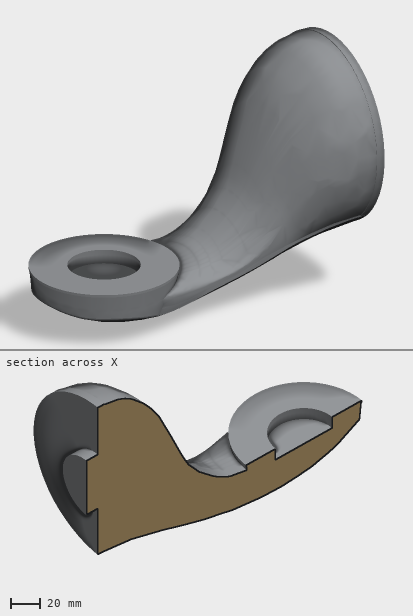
import cadquery as cq
import math

flange_radius = 67.93
flange_thickness = 6.0
peg_diameter = 50.0
peg_length = 10.0

reach = 234.01
plate_lip_radius = 51.4
plate_lip_height = 1.8
plate_side_radius = 51.0
plate_taper_angle = 5.5
plate_top_z = -61.0
plate_side_top_z = plate_top_z - plate_lip_height
rim_fillet = 2.0
plate_centre_y = plate_lip_radius - reach
pocket_diameter = 50.0
pocket_depth = 10.0

floor_z = -115.0
ceiling_z = 90.0
belly_block_half_width = 90.0

crown_points = 9
belly_points = 7

neck_sections = [
    (0.0, 67.8, 0.0, 67.8, -47.5, 47.0, 1.0),
    (-14.0, 66.3, -1.0, 67.3, -48.5, 46.9, 1.0),
    (-30.0, 58.5, -6.0, 64.8, -50.0, 46.3, 1.0),
    (-45.0, 43.0, -16.0, 57.8, -53.0, 45.6, 1.0),
    (-60.0, 17.0, -34.0, 47.5, -57.0, 44.8, 1.2),
    (-75.0, -19.5, -54.0, 43.0, -62.0, 42.6, 1.7),
    (-90.0, -43.0, -65.0, 40.9, -68.5, 40.7, 2.0),
    (-108.0, -58.0, -72.0, 39.5, -75.0, 39.3, 1.9),
    (-128.0, -65.5, -75.0, 40.4, -79.0, 40.2, 1.0),
    (-146.0, -65.5, -74.0, 43.3, -81.0, 43.1, 1.0),
    (-160.0, -65.5, -73.0, 45.5, -81.0, 45.3, 1.0),
    (-172.0, -65.5, -73.0, 47.3, -81.0, 47.1, 1.0),
    (-182.0, -65.5, -73.0, 47.5, -81.0, 47.3, 1.0),
]

belly_sections = [
    (5.0, -66.8, 52.0, 22.9),
    (-5.0, -67.2, 52.0, 22.9),
    (-15.0, -68.1, 51.0, 22.2),
    (-30.0, -70.3, 50.0, 22.0),
    (-60.0, -78.8, 50.0, 26.0),
    (-90.0, -88.3, 48.0, 25.0),
    (-120.0, -95.5, 46.0, 22.5),
    (-145.0, -98.5, 50.0, 20.0),
    (-163.0, -99.0, 53.0, 19.0),
    (-190.0, -96.2, 53.0, 18.0),
    (-212.0, -89.3, 53.0, 16.5),
    (-238.0, -72.0, 53.0, 14.0),
]


def section_plane(y):
    return cq.Workplane("XZ", origin=(0, y, 0))


def loft_through(wires):
    return cq.Workplane(obj=cq.Solid.makeLoft(wires))


def neck_wire(y, crown_z, widest_z, half_width, foot_z, foot_half_width, slimness):
    """Closed section: rounded crown, flanks curling in below it, straight skirt down to the floor."""
    crown_height = crown_z - widest_z
    flank_x, flank_z = flank_middle(half_width, widest_z, foot_half_width, foot_z)
    outline = [(foot_half_width, foot_z), (flank_x, flank_z)]
    for i in range(crown_points):
        angle = math.pi * i / (crown_points - 1)
        rise = crown_height * max(math.sin(angle), 0) ** slimness
        outline.append((half_width * math.cos(angle), widest_z + rise))
    outline += [(-flank_x, flank_z), (-foot_half_width, foot_z)]
    return (
        section_plane(y)
        .moveTo(foot_half_width, floor_z)
        .lineTo(foot_half_width, foot_z)
        .spline(outline[1:], includeCurrent=True)
        .lineTo(-foot_half_width, floor_z)
        .close()
        .val()
    )


def flank_middle(half_width, widest_z, foot_half_width, foot_z):
    """Midpoint of the arc that leaves the widest point vertically and ends at the flank foot."""
    inset = half_width - foot_half_width
    drop = widest_z - foot_z
    radius = (inset**2 + drop**2) / (2 * inset)
    half_sweep = math.atan2(inset, drop)
    return (
        half_width - radius * (1 - math.cos(half_sweep)),
        widest_z - radius * math.sin(half_sweep),
    )


def belly_wire(y, lowest_z, half_width, rise):
    """Region above the belly arc."""
    radius = (half_width**2 + rise**2) / (2 * rise)
    half_sweep = math.asin(half_width / radius)
    arc = []
    for i in range(belly_points):
        angle = half_sweep * (2 * i / (belly_points - 1) - 1)
        arc.append((radius * math.sin(angle), lowest_z + radius * (1 - math.cos(angle))))
    rim_z = lowest_z + rise
    return (
        section_plane(y)
        .moveTo(*arc[0])
        .spline(arc[1:], includeCurrent=True)
        .lineTo(belly_block_half_width, rim_z)
        .lineTo(belly_block_half_width, ceiling_z)
        .lineTo(-belly_block_half_width, ceiling_z)
        .lineTo(-belly_block_half_width, rim_z)
        .close()
        .val()
    )


def make_plate_blank():
    """Thin straight lip over a side that tapers inward on the way down."""
    lip = (
        cq.Workplane("XY", origin=(0, plate_centre_y, plate_side_top_z))
        .circle(plate_lip_radius)
        .extrude(plate_lip_height)
    )
    side = (
        cq.Workplane("XY", origin=(0, plate_centre_y, plate_side_top_z))
        .circle(plate_side_radius)
        .extrude(floor_z - plate_side_top_z, taper=plate_taper_angle)
    )
    return lip.union(side)


def make_flange():
    return cq.Workplane("XZ").circle(flange_radius).extrude(flange_thickness)


def make_peg():
    return cq.Workplane("XZ").circle(peg_diameter / 2).extrude(-peg_length)


def make_pocket():
    return (
        cq.Workplane("XY", origin=(0, plate_centre_y, plate_top_z))
        .circle(pocket_diameter / 2)
        .extrude(-pocket_depth)
    )


def plate_rim_edge(body):
    """Lower edge of the tapered plate side: of its edges below the lip, the one reaching farthest out."""
    side_edges = body.faces("%CONE").edges().vals()
    lower_edges = [edge for edge in side_edges if edge.Center().z < plate_side_top_z - rim_fillet]
    return min(lower_edges, key=lambda edge: edge.BoundingBox().ymin)


above_belly = loft_through([belly_wire(*section) for section in belly_sections])
neck = loft_through([neck_wire(*section) for section in neck_sections])
body = neck.union(make_plate_blank()).union(make_flange()).intersect(above_belly)
body = body.newObject([plate_rim_edge(body)]).fillet(rim_fillet)

result = body.union(make_peg()).cut(make_pocket())